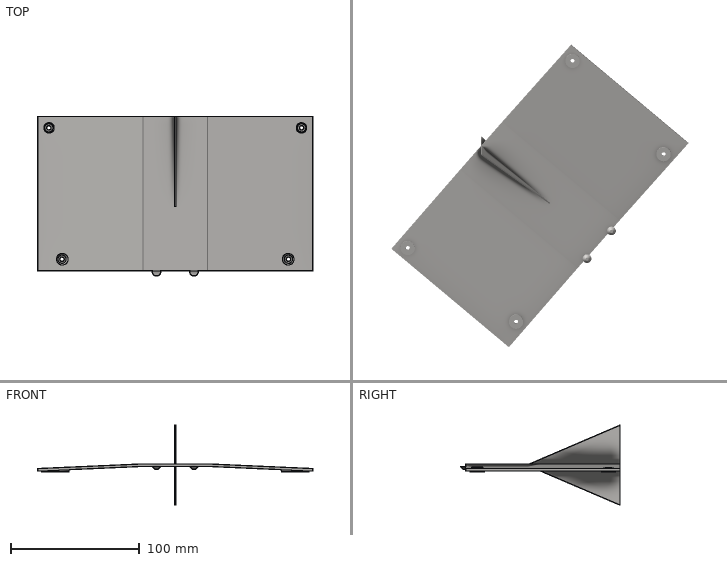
import cadquery as cq

span = 213.7
chord = 119.9
thickness = 2.1
centre_half_width = 25.0
tip_droop = 3.6

overall_height = 62.2
fin_thickness = 0.9
fin_length = 70.0

hole_diameter = 3.2
countersink_floor_radius = 3.2
countersink_floor_depth = 4.0
countersink_cutter_height = 3.2
pad_radius = 5.5
pad_bottom_depth = 6.2
rear_hole_x = 98.0
front_hole_x = 87.8
hole_edge_inset = 9.0

overall_depth = 124.0
stud_x = 14.5
stud_height = 2.1
stud_top_radius = 3.5
stud_bottom_radius = stud_top_radius - stud_height

half_span = span / 2
leading_y = -chord / 2
trailing_y = chord / 2
stud_y = trailing_y - overall_depth + stud_top_radius
top_z = thickness / 2
bottom_z = -thickness / 2
pad_bottom_z = top_z - pad_bottom_depth
countersink_floor_z = top_z - countersink_floor_depth

hole_points = [
    (side * x, y)
    for side in (-1, 1)
    for x, y in (
        (rear_hole_x, trailing_y - hole_edge_inset),
        (front_hole_x, leading_y + hole_edge_inset),
    )
]


def make_panels():
    outline = [
        (-half_span, top_z - tip_droop),
        (-centre_half_width, top_z),
        (centre_half_width, top_z),
        (half_span, top_z - tip_droop),
        (half_span, bottom_z - tip_droop),
        (centre_half_width, bottom_z),
        (-centre_half_width, bottom_z),
        (-half_span, bottom_z - tip_droop),
    ]
    return cq.Workplane("XZ").polyline(outline).close().extrude(chord / 2, both=True)


def make_fin(direction):
    """Triangle rising (+1) or hanging (-1) from the centre panel, upright at the trailing edge."""
    root_z = direction * thickness / 2
    tip_z = direction * overall_height / 2
    outline = [
        (trailing_y - fin_length, root_z),
        (trailing_y, root_z),
        (trailing_y, tip_z),
    ]
    return cq.Workplane("YZ").polyline(outline).close().extrude(fin_thickness / 2, both=True)


def make_pad(x, y):
    """Round pad with a flat bottom, ending inside the outer panel."""
    pad_height = countersink_floor_z - pad_bottom_z
    return cq.Workplane("XY", origin=(x, y, pad_bottom_z)).circle(pad_radius).extrude(pad_height)


def make_hole_cutter(x, y):
    """Through hole below a 45 degree countersink with a flat floor."""
    hole = (
        cq.Workplane("XY", origin=(x, y, pad_bottom_z))
        .circle(hole_diameter / 2)
        .extrude(pad_bottom_depth)
    )
    countersink = cq.Workplane(
        cq.Solid.makeCone(
            countersink_floor_radius,
            countersink_floor_radius + countersink_cutter_height,
            countersink_cutter_height,
            pnt=cq.Vector(x, y, countersink_floor_z),
        )
    )
    return hole.union(countersink)


def make_wing():
    wing = make_panels()
    for direction in (-1, 1):
        wing = wing.union(make_fin(direction))
    for x, y in hole_points:
        wing = wing.union(make_pad(x, y))
    for x, y in hole_points:
        wing = wing.cut(make_hole_cutter(x, y))
    return wing


def make_stud(x):
    """Cone narrowing downward, overhanging the leading edge and touching the panel underside."""
    stud_bottom = cq.Vector(x, stud_y, bottom_z - stud_height)
    return cq.Solid.makeCone(stud_bottom_radius, stud_top_radius, stud_height, pnt=stud_bottom)


wing = make_wing()
studs = [make_stud(side * stud_x) for side in (-1, 1)]

result = cq.Compound.makeCompound([*wing.solids().vals(), *studs])